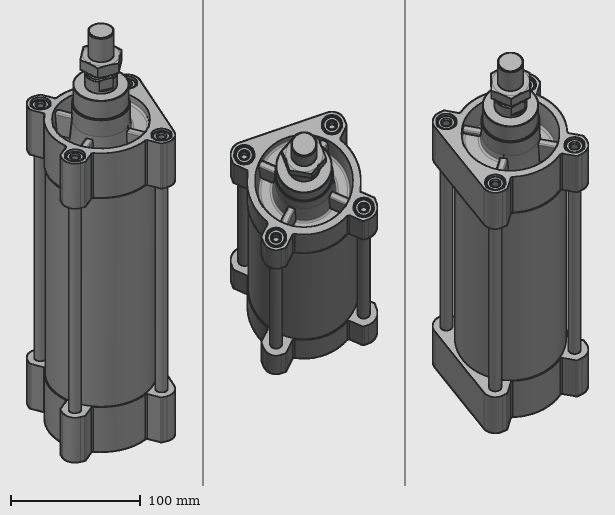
import cadquery as cq
import math

TOTAL_HEIGHT = 377.5
SPIGOT_HEIGHT = 4.0
CAP_HEIGHT = 43.5
REAR_CAP_TOP = SPIGOT_HEIGHT + CAP_HEIGHT
FRONT_CAP_TOP = 292.3
FRONT_CAP_BOTTOM = FRONT_CAP_TOP - CAP_HEIGHT
NECK_STEP_Z = 308.5
NECK_TOP = 326.0
SHANK_TOP = 337.2
NUT_BOTTOM = 344.0
NUT_HEIGHT = 10.5

CAP_WIDTH = 93.0
CAP_HALF = CAP_WIDTH / 2
CAP_ROUND_DIAMETER = 87.5
BOLT_OFFSET = 36.0
LUG_RADIUS = CAP_HALF - BOLT_OFFSET
LUG_CORNER_FILLET = 2.0
LUG_ROOT_OFFSET = 38.0

BARREL_DIAMETER = 86.0
TIE_ROD_DIAMETER = 10.0
BOLT_HOLE_DIAMETER = 16.0
BOLT_HEAD_DIAMETER = 15.0
BOLT_GAP_DEPTH = 3.8
HEAD_SINK = 1.0
HEAD_CHAMFER = 1.0
THREAD_MOUTH_DIAMETER = 8.3
THREAD_DIAMETER = 6.0
THREAD_DEPTH = 7.5

NECK_DIAMETER = 45.0
SCRAPER_DIAMETER = 43.0
SCRAPER_CHAMFER = 0.5
EDGE_CHAMFER = 0.8

RECESS_DIAMETER = 75.5
RECESS_DEPTH = 22.5
RECESS_FLOOR_OUTER_DIAMETER = 70.2
RECESS_FLOOR_INNER_DIAMETER = 49.0
RECESS_FLOOR_FILLET = 2.0
PORT_FLOOR_DEPTH = 6.8
PORT_FLOOR_OUTER_DIAMETER = 73.5
PORT_FLOOR_INNER_DIAMETER = 47.0
RIB_TOP_DEPTH = 3.5
RIB_TOP_WIDTH = 5.5
RIB_BASE_WIDTH = 9.0
RIB_TOP_FILLET = 1.0

ROD_DIAMETER = 25.0
THREADED_END_DIAMETER = 20.0
ROD_FLATS_WIDTH = 22.0
ROD_FLATS_BOTTOM = 328.5
SHANK_CHAMFER = 1.0
GROOVE_DIAMETER = 17.7
GROOVE_TOP = 342.5

NUT_FLATS = 30.0
NUT_CHAMFER_DIAMETER = 28.7
NUT_CHAMFER_ANGLE = 15.0

DIAGONALS = [45, 135, 225, 315]
BOLT_POINTS = [(sx * BOLT_OFFSET, sy * BOLT_OFFSET) for sx in (-1, 1) for sy in (-1, 1)]


def cylinder(diameter, bottom, top):
    return cq.Workplane("XY").workplane(offset=bottom).circle(diameter / 2).extrude(top - bottom)


def revolved(profile):
    """Solid of revolution about Z from (radius, z) points."""
    return cq.Workplane("XZ").polyline(profile).close().revolve(360, (0, 0, 0), (0, 1, 0))


def lug(bottom):
    """Corner lug in the +X +Y quadrant, with flanks parallel to the diagonal."""
    flank_shift = LUG_RADIUS * math.sqrt(2)
    flank_corner = CAP_HALF - flank_shift
    root = LUG_ROOT_OFFSET - flank_shift
    arc_reach = BOLT_OFFSET + LUG_RADIUS / math.sqrt(2)
    body = (
        cq.Workplane("XY")
        .workplane(offset=bottom)
        .moveTo(0, 0)
        .lineTo(LUG_ROOT_OFFSET, 0)
        .lineTo(LUG_ROOT_OFFSET, root)
        .lineTo(CAP_HALF, flank_corner)
        .lineTo(CAP_HALF, BOLT_OFFSET)
        .threePointArc((arc_reach, arc_reach), (BOLT_OFFSET, CAP_HALF))
        .lineTo(flank_corner, CAP_HALF)
        .lineTo(root, LUG_ROOT_OFFSET)
        .lineTo(0, LUG_ROOT_OFFSET)
        .close()
        .extrude(CAP_HEIGHT)
    )
    flank_corners = [(CAP_HALF, flank_corner), (flank_corner, CAP_HALF)]
    for x, y in flank_corners:
        corner_edge = cq.selectors.NearestToPointSelector((x, y, bottom + CAP_HEIGHT / 2))
        body = body.edges("|Z").edges(corner_edge).fillet(LUG_CORNER_FILLET)
    return body


def end_cap(bottom):
    """Round cap with four corner lugs and a flat port face on the +Y side."""
    cap = cylinder(CAP_ROUND_DIAMETER, bottom, bottom + CAP_HEIGHT)
    for quarter in range(4):
        cap = cap.union(lug(bottom).rotate((0, 0, 0), (0, 0, 1), quarter * 90))
    port_block = (
        cq.Workplane("XY")
        .workplane(offset=bottom)
        .center(0, CAP_HALF / 2)
        .rect(2 * BOLT_OFFSET, CAP_HALF)
        .extrude(CAP_HEIGHT)
    )
    return cap.union(port_block)


def drafted_ring(depth, floor_inner_diameter, floor_outer_diameter):
    """Ring-shaped pocket around the neck, narrowing downward to a filleted floor."""
    floor = FRONT_CAP_TOP - depth
    ring = revolved(
        [
            (NECK_DIAMETER / 2, FRONT_CAP_TOP),
            (RECESS_DIAMETER / 2, FRONT_CAP_TOP),
            (floor_outer_diameter / 2, floor),
            (floor_inner_diameter / 2, floor),
        ]
    )
    return ring.faces("<Z").edges().fillet(RECESS_FLOOR_FILLET)


def rib(angle):
    """Drafted radial rib standing in the recess."""
    rib_top = FRONT_CAP_TOP - RIB_TOP_DEPTH
    rib_base = FRONT_CAP_TOP - RECESS_DEPTH
    return (
        cq.Workplane("YZ")
        .polyline(
            [
                (-RIB_BASE_WIDTH / 2, rib_base),
                (RIB_BASE_WIDTH / 2, rib_base),
                (RIB_TOP_WIDTH / 2, rib_top),
                (-RIB_TOP_WIDTH / 2, rib_top),
            ]
        )
        .close()
        .extrude(CAP_HALF)
        .faces(">Z")
        .edges("|X")
        .fillet(RIB_TOP_FILLET)
        .rotate((0, 0, 0), (0, 0, 1), angle)
    )


def cut_front_recess(cap):
    """Cut the recess around the neck, leaving four ribs and a raised floor on the +Y side."""
    port_sector = (
        cq.Workplane("XY")
        .workplane(offset=FRONT_CAP_TOP - RECESS_DEPTH)
        .polyline([(0, 0), (CAP_HALF, CAP_HALF), (-CAP_HALF, CAP_HALF)])
        .close()
        .extrude(RECESS_DEPTH)
    )
    deep_pocket = drafted_ring(
        RECESS_DEPTH, RECESS_FLOOR_INNER_DIAMETER, RECESS_FLOOR_OUTER_DIAMETER
    ).cut(port_sector)
    port_pocket = drafted_ring(
        PORT_FLOOR_DEPTH, PORT_FLOOR_INNER_DIAMETER, PORT_FLOOR_OUTER_DIAMETER
    ).intersect(port_sector)
    for angle in DIAGONALS:
        deep_pocket = deep_pocket.cut(rib(angle))
        port_pocket = port_pocket.cut(rib(angle))
    return cap.cut(deep_pocket).cut(port_pocket)


def bolt_recess(x, y):
    """Counterbore that leaves a bevelled, sunk bolt head with a chamfered blind thread hole."""
    head_top = FRONT_CAP_TOP - HEAD_SINK
    gap_floor = FRONT_CAP_TOP - BOLT_GAP_DEPTH
    thread_end = head_top - THREAD_DEPTH
    hole_radius = BOLT_HOLE_DIAMETER / 2
    head_radius = BOLT_HEAD_DIAMETER / 2
    thread_radius = THREAD_DIAMETER / 2
    mouth_radius = THREAD_MOUTH_DIAMETER / 2
    recess = revolved(
        [
            (0, FRONT_CAP_TOP),
            (hole_radius, FRONT_CAP_TOP),
            (hole_radius, gap_floor),
            (head_radius, gap_floor),
            (head_radius, head_top - HEAD_CHAMFER),
            (head_radius - HEAD_CHAMFER, head_top),
            (mouth_radius, head_top),
            (thread_radius, head_top - (mouth_radius - thread_radius)),
            (thread_radius, thread_end),
            (0, thread_end),
        ]
    )
    return recess.translate((x, y, 0))


def make_housing():
    spigot = cylinder(NECK_DIAMETER, 0, SPIGOT_HEIGHT).faces("<Z").chamfer(EDGE_CHAMFER)
    barrel = cylinder(BARREL_DIAMETER, REAR_CAP_TOP, FRONT_CAP_BOTTOM)
    neck = cylinder(NECK_DIAMETER, FRONT_CAP_TOP, NECK_STEP_Z).faces(">Z").chamfer(EDGE_CHAMFER)
    scraper = cylinder(SCRAPER_DIAMETER, NECK_STEP_Z, NECK_TOP).faces(">Z").chamfer(SCRAPER_CHAMFER)
    housing = spigot.union(end_cap(SPIGOT_HEIGHT)).union(barrel)
    front = cut_front_recess(end_cap(FRONT_CAP_BOTTOM))
    for x, y in BOLT_POINTS:
        tie_rod = cylinder(TIE_ROD_DIAMETER, REAR_CAP_TOP, FRONT_CAP_BOTTOM)
        housing = housing.union(tie_rod.translate((x, y, 0)))
        front = front.cut(bolt_recess(x, y))
    housing = housing.union(front).union(neck).union(scraper)
    rod_bore = cylinder(ROD_DIAMETER, FRONT_CAP_BOTTOM, NECK_TOP)
    return housing.cut(rod_bore)


def make_piston_rod():
    shank_radius = ROD_DIAMETER / 2
    thread_radius = THREADED_END_DIAMETER / 2
    groove_radius = GROOVE_DIAMETER / 2
    groove_chamfer = thread_radius - groove_radius
    rod = revolved(
        [
            (0, FRONT_CAP_BOTTOM),
            (shank_radius, FRONT_CAP_BOTTOM),
            (shank_radius, SHANK_TOP),
            (shank_radius - SHANK_CHAMFER, SHANK_TOP + SHANK_CHAMFER),
            (groove_radius, SHANK_TOP + SHANK_CHAMFER),
            (groove_radius, GROOVE_TOP - groove_chamfer),
            (thread_radius, GROOVE_TOP),
            (thread_radius, TOTAL_HEIGHT - EDGE_CHAMFER),
            (thread_radius - EDGE_CHAMFER, TOTAL_HEIGHT),
            (0, TOTAL_HEIGHT),
        ]
    )
    flats_height = TOTAL_HEIGHT - ROD_FLATS_BOTTOM
    across_flats = (
        cq.Workplane("XY")
        .workplane(offset=ROD_FLATS_BOTTOM)
        .rect(2 * ROD_DIAMETER, 2 * ROD_DIAMETER)
        .rect(ROD_FLATS_WIDTH, 2 * ROD_DIAMETER)
        .extrude(flats_height)
    )
    return rod.cut(across_flats)


def make_nut():
    """Hexagon nut with two flats facing +X and -X and both ends chamfered."""
    corner_radius = NUT_FLATS / math.sqrt(3)
    chamfer_radius = NUT_CHAMFER_DIAMETER / 2
    chamfer_drop = (corner_radius - chamfer_radius) * math.tan(math.radians(NUT_CHAMFER_ANGLE))
    nut_top = NUT_BOTTOM + NUT_HEIGHT
    hexagon = (
        cq.Workplane("XY")
        .workplane(offset=NUT_BOTTOM)
        .polygon(6, 2 * corner_radius)
        .extrude(NUT_HEIGHT)
        .rotate((0, 0, 0), (0, 0, 1), 30)
    )
    chamfer_envelope = revolved(
        [
            (0, NUT_BOTTOM),
            (chamfer_radius, NUT_BOTTOM),
            (corner_radius, NUT_BOTTOM + chamfer_drop),
            (corner_radius, nut_top - chamfer_drop),
            (chamfer_radius, nut_top),
            (0, nut_top),
        ]
    )
    bore = cylinder(THREADED_END_DIAMETER, NUT_BOTTOM, nut_top)
    return hexagon.intersect(chamfer_envelope).cut(bore)


housing = make_housing()
piston_rod = make_piston_rod()
nut = make_nut()

result = cq.Compound.makeCompound([housing.val(), piston_rod.val(), nut.val()])